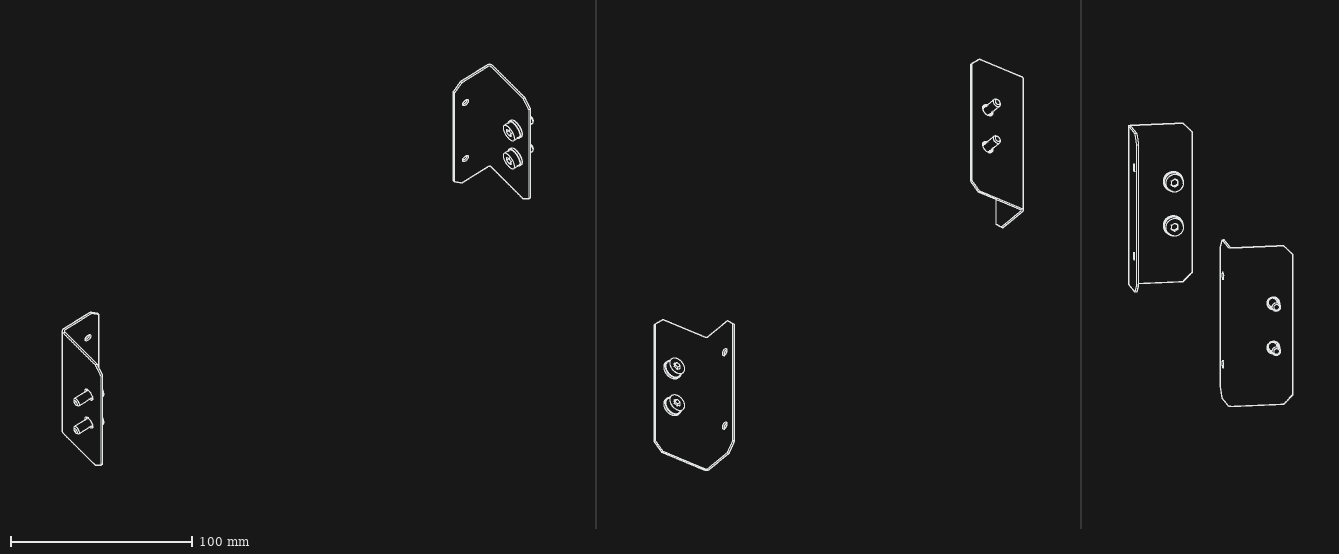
import cadquery as cq

total_length = 321.0
screw_projection = 9.3
bracket_outer_y = total_length / 2 - screw_projection

bracket_width = 36.0
bracket_depth = 26.0
bracket_height = 90.0
sheet_thickness = 1.2
bend_outer_radius = 2.1
bend_inner_radius = bend_outer_radius - sheet_thickness
corner_chamfer = 5.0
side_hole_diameter = 4.2
side_hole_edge_distance = 7.7
side_hole_spacing = 50.0

screw_spacing = 25.0
screw_edge_distance = 11.0
shank_diameter = 4.8
head_diameter = 10.0
head_height = 4.0
tip_chamfer = 0.8
socket_width = 4.0
socket_depth = 2.2
washer_diameter = 11.0
washer_thickness = 1.5
washer_chamfer = 0.3
washer_bore = 6.5
screw_hole_diameter = 7.0

left_x = -bracket_width / 2
right_x = bracket_width / 2
bracket_inner_y = bracket_outer_y - sheet_thickness
flange_edge_y = bracket_outer_y - bracket_depth
head_seat_y = bracket_inner_y - washer_thickness
head_top_y = head_seat_y - head_height
screw_x = right_x - screw_edge_distance
screw_heights = [-screw_spacing / 2, screw_spacing / 2]
side_hole_y = flange_edge_y + side_hole_edge_distance


def cylinder_along_y(diameter, start_y, end_y, z):
    """Cylinder on a screw axis, between two Y positions."""
    base = cq.Workplane("XZ", origin=(screw_x, end_y, z))
    return base.circle(diameter / 2).extrude(end_y - start_y)


def make_bracket():
    """Bent sheet angle with its corner at -X, +Y."""
    angle = (
        cq.Workplane("XY", origin=(0, 0, -bracket_height / 2))
        .moveTo(left_x, flange_edge_y)
        .lineTo(left_x, bracket_outer_y)
        .lineTo(right_x, bracket_outer_y)
        .lineTo(right_x, bracket_inner_y)
        .lineTo(left_x + sheet_thickness, bracket_inner_y)
        .lineTo(left_x + sheet_thickness, flange_edge_y)
        .close()
        .extrude(bracket_height)
    )

    angle = angle.edges("|Z and <X and >Y").fillet(bend_outer_radius)
    inner_corner = cq.selectors.NearestToPointSelector((left_x + sheet_thickness, bracket_inner_y, 0))
    angle = angle.edges("|Z").edges(inner_corner).fillet(bend_inner_radius)

    angle = angle.faces(">X").edges("|Y").chamfer(corner_chamfer)
    angle = angle.faces("<Y").edges("|X").chamfer(corner_chamfer)

    side_holes = (
        cq.Workplane("YZ", origin=(left_x, side_hole_y, 0))
        .rarray(3.2, side_hole_spacing, 1, 2)
        .circle(side_hole_diameter / 2)
        .extrude(sheet_thickness)
    )
    angle = angle.cut(side_holes)

    for z in screw_heights:
        angle = angle.cut(cylinder_along_y(screw_hole_diameter, bracket_inner_y, bracket_outer_y, z))
    return angle


def make_washer(z):
    """Flat ring, chamfered at the rim, between the screw head and the bracket."""
    disc = cylinder_along_y(washer_diameter, head_seat_y, bracket_inner_y, z)
    disc = disc.faces(">Y").edges().chamfer(washer_chamfer)
    return disc.cut(cylinder_along_y(washer_bore, head_seat_y, bracket_inner_y, z))


def make_screw(z):
    """Screw with a cylindrical head, a hexagon socket and a chamfered shank pointing +Y."""
    head = cylinder_along_y(head_diameter, head_top_y, head_seat_y, z)
    socket = (
        cq.Workplane("XZ", origin=(screw_x, head_top_y + socket_depth, z))
        .polygon(6, socket_width, circumscribed=True)
        .extrude(socket_depth)
    )
    shank = cylinder_along_y(shank_diameter, head_seat_y, total_length / 2, z)
    shank = shank.faces(">Y").edges().chamfer(tip_chamfer)
    return head.cut(socket).union(shank)


back_bodies = [make_bracket().val()]
for height in screw_heights:
    back_bodies.append(make_washer(height).val())
    back_bodies.append(make_screw(height).val())
front_bodies = [body.mirror("XZ") for body in back_bodies]

result = cq.Compound.makeCompound(back_bodies + front_bodies)